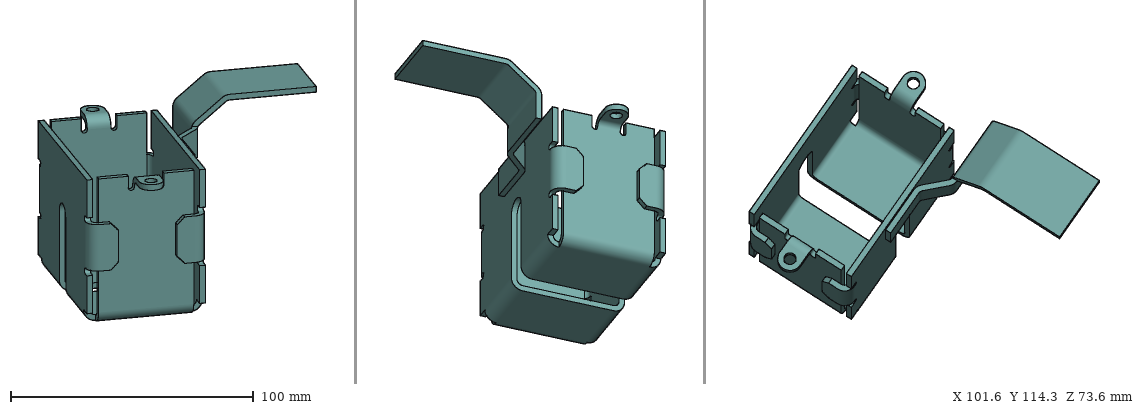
import cadquery as cq
import math

sheet = 2.5
inner_radius = sheet
outer_radius = inner_radius + sheet
middle_radius = inner_radius + sheet / 2

box_width = 76.2
box_depth = 50.7
box_height = 63.5

slot_width = 10.2
slot_top = 40.2

tab_height = 20.3
tab_middle_z = 34.3
tab_reach = 12.8
tab_chamfer = 3.2

ear_width = 10.2
ear_hole_x = 45.7
ear_hole_diameter = 5.0

notch_width = 2.5

arm_bottom = 48.2
strip_height = 12.7
foot_end_x = 12.7
plate_inner_x = -21.4
plate_offset = 10.2
jog_angle = 45.0
plate_bend_z = 59.5
ramp_end_y = 51.9
arm_top = 73.6
arm_end_y = 88.9

half_width = box_width / 2
half_depth = box_depth / 2
tab_bend_x = half_width - sheet
tab_bend_y = half_depth - outer_radius
ear_bend_z = box_height - outer_radius
ear_tip_x = ear_hole_x + ear_width / 2


def block(x_range, y_range, z_range):
    """Box between the given limits."""
    (x0, x1), (y0, y1), (z0, z1) = x_range, y_range, z_range
    return cq.Workplane("XY").box(x1 - x0, y1 - y0, z1 - z0, centered=False).translate((x0, y0, z0))


def bend_middle(angle):
    """Offset from a bend centre to the middle of the sheet, at an angle in radians."""
    return middle_radius * math.cos(angle), middle_radius * math.sin(angle)


def bent_sheet(path, start, direction, width_direction, width):
    """Sheet of the given width swept along its middle line."""
    section_plane = cq.Plane(origin=start, xDir=width_direction, normal=direction)
    return cq.Workplane(section_plane).rect(width, sheet).sweep(path)


def channel(span, width):
    """U-shaped strip, open at the top, with its walls at X = +-span/2."""
    outside = (
        cq.Workplane("XY")
        .box(span, width, box_height, centered=(True, True, False))
        .edges("|Y and <Z")
        .fillet(outer_radius)
    )
    inside = (
        cq.Workplane("XY")
        .box(span - 2 * sheet, width, box_height, centered=(True, True, False))
        .edges("|Y and <Z")
        .fillet(inner_radius)
        .translate((0, 0, sheet))
    )
    return outside.cut(inside)


def box_shell():
    """Two crossing channels, with the front and back walls widened above the bends."""
    side_walls = channel(box_width, box_depth - 2 * outer_radius)
    end_walls = channel(box_depth, box_width - 2 * outer_radius).rotate((0, 0, 0), (0, 0, 1), 90)
    shell = side_walls.union(end_walls)
    for y_start in (-half_depth, half_depth - sheet):
        wall = block((-half_width, half_width), (y_start, y_start + sheet), (outer_radius, box_height))
        shell = shell.union(wall)
    return shell


def cable_slot():
    """Round-topped slot running through the whole depth."""
    arch_z = slot_top - slot_width / 2
    straight = block((-slot_width / 2, slot_width / 2), (-half_depth, half_depth), (0, arch_z))
    arch = (
        cq.Workplane("XZ", origin=(0, half_depth, arch_z)).circle(slot_width / 2).extrude(box_depth)
    )
    return straight.union(arch)


def tab_relief():
    """Space cleared at the front right wall edge for a tab and its two notches."""
    half_height = tab_height / 2 + notch_width
    relief = block(
        (tab_bend_x, half_width),
        (-half_depth, -half_depth + sheet),
        (tab_middle_z - half_height, tab_middle_z + half_height),
    )
    for side in (-1, 1):
        notch_z = tab_middle_z + side * (tab_height + notch_width) / 2
        notch_end = (
            cq.Workplane("XZ", origin=(tab_bend_x, -half_depth + sheet, notch_z))
            .circle(notch_width / 2)
            .extrude(sheet)
        )
        relief = relief.union(notch_end)
    return relief


def corner_tab():
    """Front right tab, bent round the corner and lying on the side wall."""
    start = (tab_bend_x, -tab_bend_y - middle_radius, tab_middle_z)
    bend_midpoint = bend_middle(math.pi / 4)
    path = (
        cq.Workplane("XY", origin=(tab_bend_x, -tab_bend_y, tab_middle_z))
        .moveTo(0, -middle_radius)
        .threePointArc((bend_midpoint[0], -bend_midpoint[1]), (middle_radius, 0))
        .lineTo(middle_radius, tab_reach - outer_radius)
    )
    tab = bent_sheet(path, start, (1, 0, 0), (0, 0, 1), tab_height)
    return tab.faces(">Y").edges("|X").chamfer(tab_chamfer)


def ear_relief():
    """Space cleared in the right wall above an ear's bend, with its two notches."""
    half_span = ear_width / 2 + notch_width
    wall_x = (half_width - sheet, half_width)
    relief = block(wall_x, (-half_span, half_span), (ear_bend_z, box_height))
    for side in (-1, 1):
        notch_y = side * (ear_width + notch_width) / 2
        notch_end = (
            cq.Workplane("YZ", origin=(half_width - sheet, notch_y, ear_bend_z))
            .circle(notch_width / 2)
            .extrude(sheet)
        )
        relief = relief.union(notch_end)
    return relief


def mounting_ear():
    """Right ear, bent outward to the horizontal, with a round end and a hole."""
    bend_x = half_width - sheet + outer_radius
    start = (bend_x - middle_radius, 0, ear_bend_z)
    bend_midpoint = bend_middle(math.pi / 4)
    path = (
        cq.Workplane("XZ", origin=(bend_x, 0, ear_bend_z))
        .moveTo(-middle_radius, 0)
        .threePointArc((-bend_midpoint[0], bend_midpoint[1]), (0, middle_radius))
        .lineTo(ear_hole_x - bend_x, middle_radius)
    )
    strip = bent_sheet(path, start, (0, 0, 1), (0, 1, 0), ear_width)
    hole_plane = cq.Workplane("XY", origin=(ear_hole_x, 0, box_height - sheet))
    round_end = hole_plane.circle(ear_width / 2).extrude(sheet)
    hole = hole_plane.circle(ear_hole_diameter / 2).extrude(sheet)
    return strip.union(round_end).cut(hole)


def left_and_right(feature):
    """The right-hand feature and its mirror image on the left."""
    return [feature, feature.mirror("YZ")]


def all_corners(feature):
    """The front right feature repeated at all four corners."""
    return left_and_right(feature) + left_and_right(feature.mirror("XZ"))


def make_box():
    """Folded open box with its slot, tabs and ears."""
    body = box_shell().cut(cable_slot())
    for relief in all_corners(tab_relief()) + left_and_right(ear_relief()):
        body = body.cut(relief)
    for flange in all_corners(corner_tab()) + left_and_right(mounting_ear()):
        body = body.union(flange)
    return body.solids()


def jogged_strip():
    """Upright strip: foot on the back wall, sloping jog, then the start of the plate."""
    jog = math.radians(jog_angle)
    foot_y = half_depth + sheet / 2
    plate_y = foot_y + plate_offset
    foot_bend_y = foot_y + middle_radius
    plate_bend_y = plate_y - middle_radius
    bend_spacing = (2 * middle_radius - (foot_bend_y - plate_bend_y) * math.cos(jog)) / math.sin(jog)
    foot_bend_x = plate_inner_x + bend_spacing
    half_x, half_y = bend_middle(math.pi / 2 - jog / 2)
    end_x, end_y = bend_middle(math.pi / 2 - jog)
    middle_z = arm_bottom + strip_height / 2
    path = (
        cq.Workplane("XY", origin=(0, 0, middle_z))
        .moveTo(foot_end_x, foot_y)
        .lineTo(foot_bend_x, foot_y)
        .threePointArc(
            (foot_bend_x - half_x, foot_bend_y - half_y),
            (foot_bend_x - end_x, foot_bend_y - end_y),
        )
        .lineTo(plate_inner_x + end_x, plate_bend_y + end_y)
        .threePointArc((plate_inner_x + half_x, plate_bend_y + half_y), (plate_inner_x, plate_y))
    )
    return bent_sheet(path, (foot_end_x, foot_y, middle_z), (-1, 0, 0), (0, 0, 1), strip_height)


def raised_plate():
    """Wide plate: upright, then a ramp away from the box, then horizontal."""
    upright_y = half_depth + plate_offset + sheet / 2
    first_y = upright_y + middle_radius
    second_z = arm_top - outer_radius
    ramp = math.atan2(second_z - plate_bend_z, ramp_end_y - first_y)
    first_half_y, first_half_z = bend_middle(math.pi * 3 / 4 + ramp / 2)
    ramp_y, ramp_z = bend_middle(math.pi / 2 + ramp)
    second_half_y, second_half_z = bend_middle(math.pi / 2 + ramp / 2)
    plate_width = ear_tip_x + plate_inner_x
    middle_x = plate_inner_x - plate_width / 2
    path = (
        cq.Workplane("YZ", origin=(middle_x, 0, 0))
        .moveTo(upright_y, arm_bottom)
        .lineTo(upright_y, plate_bend_z)
        .threePointArc(
            (first_y + first_half_y, plate_bend_z + first_half_z),
            (first_y + ramp_y, plate_bend_z + ramp_z),
        )
        .lineTo(ramp_end_y + ramp_y, second_z + ramp_z)
        .threePointArc(
            (ramp_end_y + second_half_y, second_z + second_half_z),
            (ramp_end_y, second_z + middle_radius),
        )
        .lineTo(arm_end_y, second_z + middle_radius)
    )
    return bent_sheet(path, (middle_x, upright_y, arm_bottom), (0, 0, 1), (1, 0, 0), plate_width)


def make_arm():
    """Bent arm that stands on the back wall of the box."""
    return jogged_strip().union(raised_plate()).solids()


box = make_box()
arm = make_arm()

result = cq.Compound.makeCompound([box.val(), arm.val()])